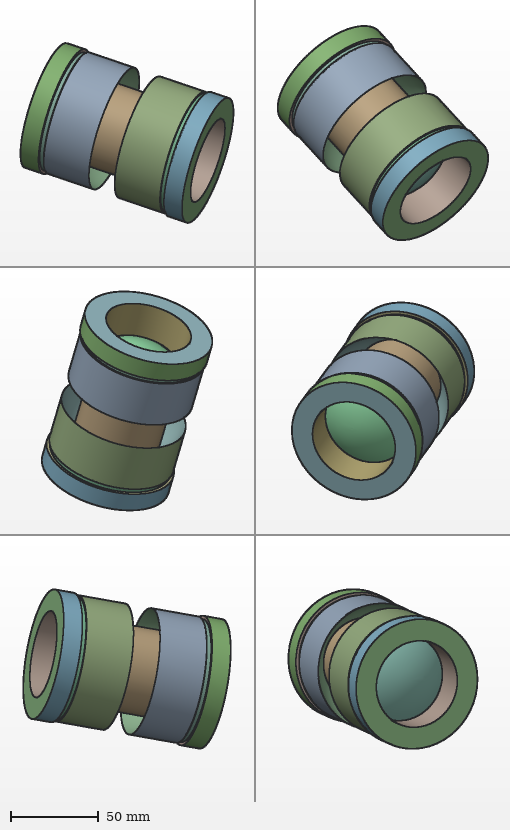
import cadquery as cq
import math

length = 100.0
half_length = length / 2

flange_radius = 37.5
flange_width = 11.2
groove_radius = 35.6
groove_width = 2.8
sleeve_radius = 36.6
groove_outer_x = half_length - flange_width
groove_inner_x = groove_outer_x - groove_width

neck_radius = 25.0
bore_radius = neck_radius

dome_radius = flange_radius

web_thickness = 0.05
cavity_radius = dome_radius - web_thickness


def sphere_point(sphere_radius, radius):
    """Point (x, radius), at positive x, on the section of a sphere about the origin."""
    return (math.sqrt(sphere_radius**2 - radius**2), radius)


def mirrored(point):
    return (-point[0], point[1])


def trace_outside(section, side):
    """Add one end's outline, from the sleeve rim to the bore mouth, on the given side of x = 0."""
    outline = [
        sphere_point(cavity_radius, sleeve_radius),
        (groove_inner_x, sleeve_radius),
        (groove_inner_x, groove_radius),
        (groove_outer_x, groove_radius),
        (groove_outer_x, flange_radius),
        (half_length, flange_radius),
        (half_length, bore_radius),
    ]
    if side < 0:
        outline = [mirrored(point) for point in reversed(outline)]
    for point in outline[1:]:
        section = section.lineTo(*point)
    return section


def revolved_body():
    """Whole part, revolved about X from its (x, radius) section."""
    cavity_bottom = sphere_point(cavity_radius, neck_radius)
    cavity_middle = sphere_point(cavity_radius, (neck_radius + sleeve_radius) / 2)
    cavity_rim = sphere_point(cavity_radius, sleeve_radius)
    dome_edge = sphere_point(dome_radius, bore_radius)
    dome_middle = sphere_point(dome_radius, bore_radius / 2)
    dome_tip = sphere_point(dome_radius, 0)

    section = cq.Workplane("XY").moveTo(*mirrored(dome_tip))
    section = section.threePointArc(mirrored(dome_middle), mirrored(dome_edge))
    section = section.lineTo(-half_length, bore_radius)
    section = trace_outside(section, -1)
    section = section.threePointArc(mirrored(cavity_middle), mirrored(cavity_bottom))
    section = section.lineTo(*cavity_bottom)
    section = section.threePointArc(cavity_middle, cavity_rim)
    section = trace_outside(section, 1)
    section = section.lineTo(*dome_edge)
    section = section.threePointArc(dome_middle, dome_tip)
    return section.close().revolve(360, (0, 0, 0), (1, 0, 0))


result = revolved_body()